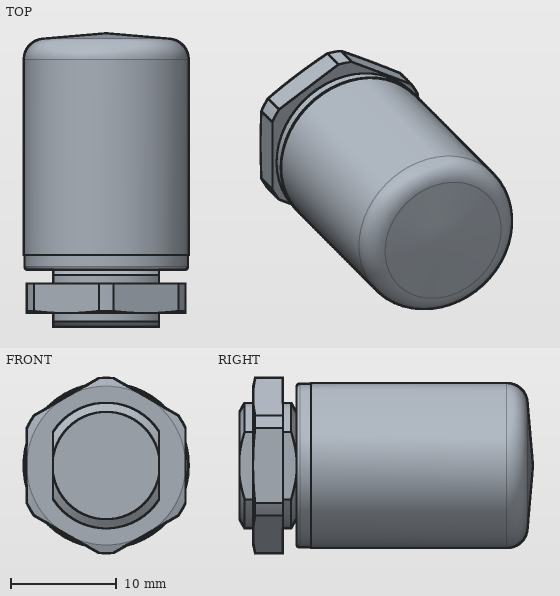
import cadquery as cq
import math

LENGTH = 27.72

BODY_RADIUS = 15.6 / 2
CAP_FILLET = 2.0
CAP_HEIGHT = 0.5
COLLAR_RADIUS = 7.73
COLLAR_START = 5.38
COLLAR_END = 6.75
COLLAR_FILLET = 0.33

STUD_RADIUS = 5.93
STUD_TIP_RADIUS = 5.07
STUD_FLAT_WIDTH = 10.0
STUD_CHAMFER = (STUD_RADIUS - STUD_TIP_RADIUS) / math.tan(math.radians(60))

NUT_START = 1.3
NUT_END = 4.1
NUT_FLAT_WIDTH = 15.0
NUT_CORNER_RADIUS = 16.58 / 2
NUT_CHAMFER = 0.2
NUT_SIDES = 6


def revolve_about_y(profile):
    """Close a radius-length profile and turn it about the Y axis."""
    return profile.close().revolve(360, (0, 0, 0), (0, 1, 0))


def make_body():
    slope = math.atan(CAP_HEIGHT / (BODY_RADIUS - CAP_FILLET))
    arc_centre_radius = BODY_RADIUS - CAP_FILLET
    cone_drop = arc_centre_radius * math.tan(slope)
    arc_centre_y = LENGTH - cone_drop - CAP_FILLET / math.cos(slope)

    def arc_point(angle):
        return (
            arc_centre_radius + CAP_FILLET * math.cos(angle),
            arc_centre_y + CAP_FILLET * math.sin(angle),
        )

    arc_end_angle = math.pi / 2 - slope
    profile = (
        cq.Workplane("XY")
        .moveTo(0, COLLAR_START)
        .lineTo(COLLAR_RADIUS - COLLAR_FILLET, COLLAR_START)
        .radiusArc((COLLAR_RADIUS, COLLAR_START + COLLAR_FILLET), -COLLAR_FILLET)
        .lineTo(COLLAR_RADIUS, COLLAR_END)
        .lineTo(BODY_RADIUS, COLLAR_END)
        .lineTo(BODY_RADIUS, arc_centre_y)
        .threePointArc(arc_point(arc_end_angle / 2), arc_point(arc_end_angle))
        .lineTo(0, LENGTH)
    )
    return revolve_about_y(profile)


def make_stud():
    profile = (
        cq.Workplane("XY")
        .lineTo(STUD_TIP_RADIUS, 0)
        .lineTo(STUD_RADIUS, STUD_CHAMFER)
        .lineTo(STUD_RADIUS, COLLAR_START - STUD_CHAMFER)
        .lineTo(STUD_TIP_RADIUS, COLLAR_START)
        .lineTo(0, COLLAR_START)
    )
    flats = cq.Workplane("XY").box(STUD_FLAT_WIDTH, 2 * LENGTH, 2 * STUD_RADIUS)
    return revolve_about_y(profile).intersect(flats)


def make_nut():
    hexagon = (
        cq.Workplane("XZ", origin=(0, NUT_END, 0))
        .polygon(NUT_SIDES, NUT_FLAT_WIDTH, circumscribed=True)
        .extrude(NUT_END - NUT_START)
    )
    rounding = (
        cq.Workplane("XY")
        .moveTo(0, NUT_START)
        .lineTo(NUT_FLAT_WIDTH / 2, NUT_START)
        .lineTo(NUT_CORNER_RADIUS, NUT_START + NUT_CHAMFER)
        .lineTo(NUT_CORNER_RADIUS, NUT_END)
        .lineTo(0, NUT_END)
    )
    return hexagon.intersect(revolve_about_y(rounding))


result = make_body().union(make_stud()).union(make_nut())